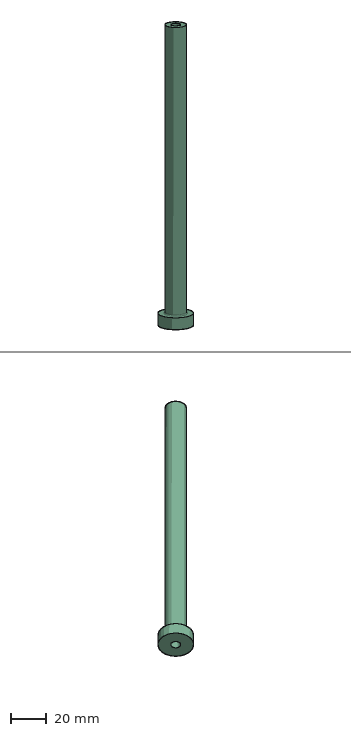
import cadquery as cq

total_length = 175.0
head_diameter = 20.0
head_height = 7.0
shaft_diameter = 12.0
bore_diameter = 5.5
root_fillet = 0.5

head = cq.Workplane("XY").circle(head_diameter / 2).extrude(head_height)
shaft = cq.Workplane("XY").circle(shaft_diameter / 2).extrude(total_length)
sleeve = head.union(shaft)

root_edge = cq.selectors.RadiusNthSelector(0)
sleeve = sleeve.faces("<Z[1]").edges(root_edge).fillet(root_fillet)

bore = cq.Workplane("XY").circle(bore_diameter / 2).extrude(total_length)
result = sleeve.cut(bore)